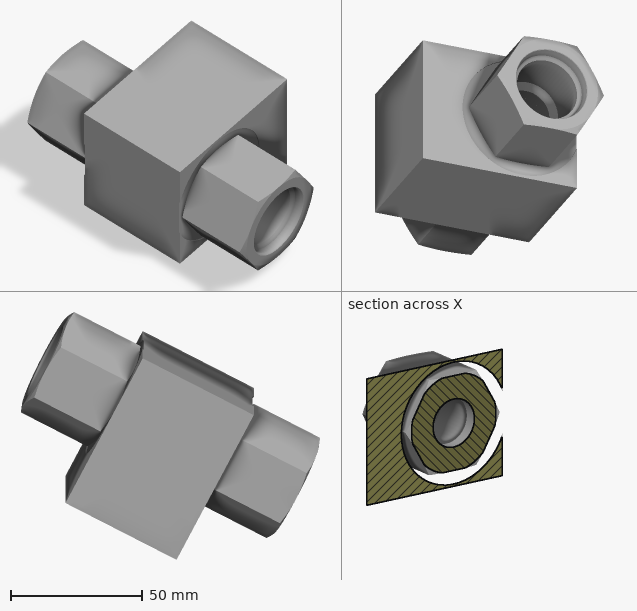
import cadquery as cq
import math

overall_length = 107.6
block_length = 47.7
block_depth = 63.5
block_height = 50.8
axis_to_front = 22.8

recess_diameter = 48.6
recess_depth = 0.5

hex_across_flats = 38.1
hex_chamfer_angle = 20.0

mouth_diameter = 29.6
seat_diameter = 29.2
mouth_chamfer = 0.2
seat_end_diameter = 27.6
seat_end_depth = 3.4
thread_diameter = 24.7
thread_start_depth = 4.7
thread_end_depth = 23.7
flow_diameter = 19.0
drill_point_angle = 118.0

port_turns = (0, 180)

recess_floor_x = block_length / 2 - recess_depth
fitting_end_x = overall_length / 2
fitting_length = fitting_end_x - recess_floor_x


def make_block():
    """Block with a straight flow bore and an open-sided recess on each port face."""
    block = cq.Workplane("XY").box(block_length, block_depth, block_height)
    block = block.translate((0, block_depth / 2 - axis_to_front, 0))
    bore = cq.Workplane("YZ").circle(flow_diameter / 2).extrude(block_length / 2, both=True)
    block = block.cut(bore)
    recess = (
        cq.Workplane("YZ", origin=(recess_floor_x, 0, 0))
        .circle(recess_diameter / 2)
        .extrude(recess_depth)
    )
    for turn in port_turns:
        block = block.cut(recess.rotate((0, 0, 0), (0, 0, 1), turn))
    return block


def make_hex_body():
    """Hexagonal bar with its corners chamfered by a cone at both ends."""
    corner_radius = hex_across_flats / math.sqrt(3)
    flat_radius = hex_across_flats / 2
    chamfer = (corner_radius - flat_radius) * math.tan(math.radians(hex_chamfer_angle))
    hexagon = (
        cq.Workplane("YZ", origin=(recess_floor_x, 0, 0))
        .polygon(6, 2 * corner_radius)
        .extrude(fitting_length)
    )
    envelope = (
        cq.Workplane("XY")
        .moveTo(recess_floor_x, 0)
        .lineTo(recess_floor_x, flat_radius)
        .lineTo(recess_floor_x + chamfer, corner_radius)
        .lineTo(fitting_end_x - chamfer, corner_radius)
        .lineTo(fitting_end_x, flat_radius)
        .lineTo(fitting_end_x, 0)
        .close()
        .revolve(360, (0, 0, 0), (1, 0, 0))
    )
    return hexagon.intersect(envelope)


def make_port_bore():
    """Stepped bore: chamfered mouth, tapered seat, thread bore, drill point, flow bore."""
    drill_step = (thread_diameter - flow_diameter) / 2
    drill_point_length = drill_step / math.tan(math.radians(drill_point_angle / 2))
    return (
        cq.Workplane("XY")
        .moveTo(fitting_end_x, 0)
        .lineTo(fitting_end_x, mouth_diameter / 2)
        .lineTo(fitting_end_x - mouth_chamfer, seat_diameter / 2)
        .lineTo(fitting_end_x - seat_end_depth, seat_end_diameter / 2)
        .lineTo(fitting_end_x - thread_start_depth, thread_diameter / 2)
        .lineTo(fitting_end_x - thread_end_depth, thread_diameter / 2)
        .lineTo(fitting_end_x - thread_end_depth - drill_point_length, flow_diameter / 2)
        .lineTo(recess_floor_x, flow_diameter / 2)
        .lineTo(recess_floor_x, 0)
        .close()
        .revolve(360, (0, 0, 0), (1, 0, 0))
    )


def make_fitting(turn):
    """Port fitting on the +X side, turned about Z to face its own end of the block."""
    fitting = make_hex_body().cut(make_port_bore())
    return fitting.rotate((0, 0, 0), (0, 0, 1), turn)


block = make_block()
fittings = [make_fitting(turn) for turn in port_turns]

result = cq.Compound.makeCompound([block.val(), *[fitting.val() for fitting in fittings]])